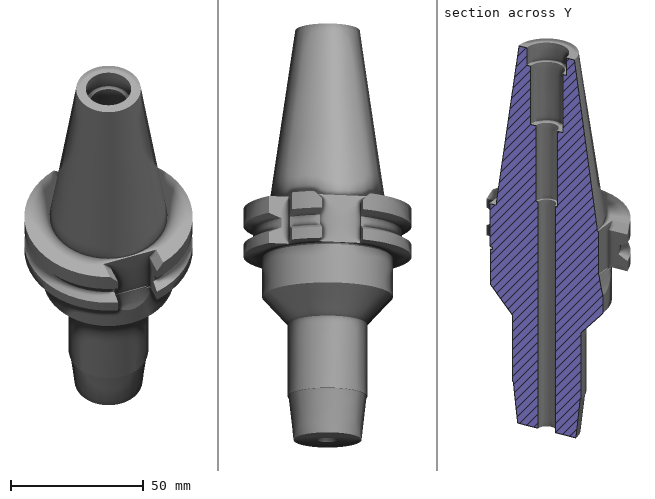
import cadquery as cq

total_height = 158.4
nose_top = 16.8
shank_top = 44.7
body_bottom = 55.3
flange_bottom = 71.0
flange_top = 89.2
gauge_level = 90.0

nose_tip_radius = 12.8
nose_top_radius = 14.7
shank_radius = 15.0
body_radius = 24.7
flange_diameter = 63.5
flange_radius = flange_diameter / 2
taper_small_radius = 12.2
taper_large_radius = 22.2

relief_height = 0.8
relief_radius = 23.8

groove_floor_radius = 28.0
groove_floor_bottom = 77.1
groove_floor_top = 80.8
groove_flank_height = 1.9

slot_width = 15.7
slot_chamfer = 2.9
slot_floor_left = 24.9
slot_floor_right = 22.7
runout_radius = 44.4
runout_rise = 5.0
notch_offset = 18.4

pilot_radius = 8.5
pilot_depth = 7.3
thread_radius = 7.0
thread_depth = 31.7
channel_step_radius = 4.6
channel_step_depth = 63.4
channel_radius = 3.6


def make_body():
    """Revolved outer shape: nose, shank, body, grooved flange and taper."""
    profile = [
        (0, 0),
        (nose_tip_radius, 0),
        (nose_top_radius, nose_top),
        (shank_radius, nose_top),
        (shank_radius, shank_top),
        (body_radius, body_bottom),
        (body_radius, flange_bottom - relief_height),
        (relief_radius, flange_bottom - relief_height),
        (relief_radius, flange_bottom),
        (flange_radius, flange_bottom),
        (flange_radius, groove_floor_bottom - groove_flank_height),
        (groove_floor_radius, groove_floor_bottom),
        (groove_floor_radius, groove_floor_top),
        (flange_radius, groove_floor_top + groove_flank_height),
        (flange_radius, flange_top),
        (taper_large_radius, flange_top),
        (taper_large_radius, gauge_level),
        (taper_small_radius, total_height),
        (0, total_height),
    ]
    return cq.Workplane("XZ").polyline(profile).close().revolve(360, (0, 0), (0, 1))


def drive_slot(floor, side):
    """Slot cutter on the +X (side=1) or -X (side=-1) flank, chamfered at the flange top."""
    half = slot_width / 2
    wide = half + slot_chamfer
    outline = [
        (-half, flange_bottom),
        (half, flange_bottom),
        (half, flange_top - slot_chamfer),
        (wide, flange_top),
        (-wide, flange_top),
        (-half, flange_top - slot_chamfer),
    ]
    start = cq.Workplane("YZ").workplane(offset=side * floor)
    return start.polyline(outline).close().extrude(side * flange_radius)


def slot_runout():
    """Curved runout of the deeper +X slot into the body below the flange."""
    center_level = flange_bottom + runout_rise
    return (
        cq.Workplane("XZ")
        .center(slot_floor_right + runout_radius, center_level)
        .circle(runout_radius)
        .extrude(slot_width / 2, both=True)
    )


def orientation_notch():
    """Square corner notch through the flange on the -X, +Y side."""
    height = flange_top - flange_bottom
    return (
        cq.Workplane("XY")
        .box(flange_radius, flange_radius, height, centered=False)
        .translate((-notch_offset - flange_radius, notch_offset, flange_bottom))
    )


def bore(radius, depth):
    """Round bore going down from the taper end face."""
    return cq.Workplane("XY").workplane(offset=total_height - depth).circle(radius).extrude(depth)


result = make_body()
result = result.cut(drive_slot(slot_floor_left, -1))
result = result.cut(drive_slot(slot_floor_right, 1))
result = result.cut(slot_runout())
result = result.cut(orientation_notch())
for bore_radius, bore_depth in [
    (pilot_radius, pilot_depth),
    (thread_radius, thread_depth),
    (channel_step_radius, channel_step_depth),
    (channel_radius, total_height),
]:
    result = result.cut(bore(bore_radius, bore_depth))